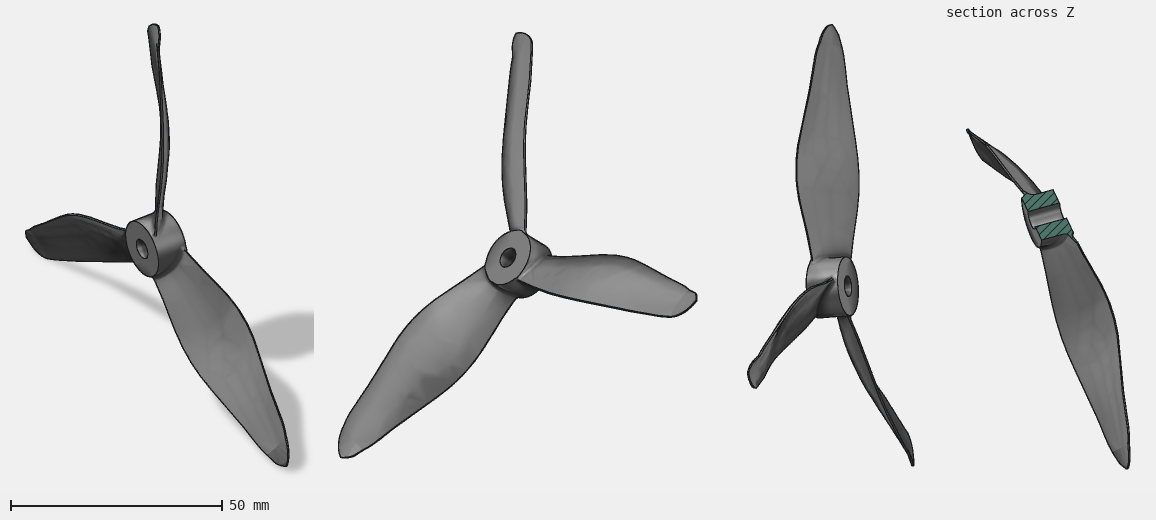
import cadquery as cq
import math

hub_radius = 7.0
hub_length = 8.0
bore_radius = 2.4
root_fillet = 1.1
hub_spare = 5.5
seam_angle = 90
on_side_tolerance = 0.001

blade_count = 3
edge_thickness = 0.4
tip_line = 58.6
tip_reach = 63.7

blade_stations = [
    (3.3, -4.3, 7.2, 4.2, 1.1, 1.5, 0.3),
    (10.0, -5.4, 7.8, 4.7, 0.9, 1.5, 0.3),
    (17.7, -6.5, 9.3, 6.4, 0.4, 1.7, 0.5),
    (27.7, -7.2, 10.4, 8.0, 0.3, 1.8, 0.9),
    (37.7, -6.9, 9.2, 7.1, 1.1, 1.7, 0.9),
    (48.7, -6.2, 7.0, 4.9, 2.1, 1.2, 0.7),
    (tip_line, -5.1, 5.2, 2.8, 2.8, 0.9, 0.4),
]
tip_overrun = 0.7
tip_station = (tip_reach + tip_overrun, -4.3, 4.3, 1.9, 4.1, 0.4, 0.1)

tip_back_start = (-5.1, tip_line)
tip_back_middle = (-3.1, 61.8)
tip_crest = (0.4, tip_reach)
tip_front_middle = (2.1, 61.8)
tip_front_start = (2.8, tip_line)
tip_trim_depth = 22.2


def section_wire(distance, back_x, back_y, front_x, front_y, bulge, hollow):
    """Closed cambered blade section in the plane Z = distance."""
    chord = cq.Vector(front_x - back_x, front_y - back_y, 0)
    normal = cq.Vector(-chord.y, chord.x, 0).normalized()
    back_edge = cq.Vector(back_x, back_y, distance)
    front_edge = cq.Vector(front_x, front_y, distance)
    middle = (back_edge + front_edge) * 0.5
    edge_half = normal * (edge_thickness / 2)
    back_arc = (back_edge + edge_half, middle + normal * bulge, front_edge + edge_half)
    front_arc = (front_edge - edge_half, middle + normal * hollow, back_edge - edge_half)
    return cq.Wire.assembleEdges([
        cq.Edge.makeThreePointArc(*back_arc),
        cq.Edge.makeLine(back_arc[2], front_arc[0]),
        cq.Edge.makeThreePointArc(*front_arc),
        cq.Edge.makeLine(front_arc[2], back_arc[0]),
    ])


def loft(stations):
    """Smooth solid through the blade sections at the given stations."""
    return cq.Workplane(cq.Solid.makeLoft([section_wire(*station) for station in stations]))


def make_tip():
    """Last stretch of the blade, trimmed to its rounded outline."""
    outline = (
        cq.Workplane("XZ")
        .moveTo(*tip_back_start)
        .threePointArc(tip_back_middle, tip_crest)
        .threePointArc(tip_front_middle, tip_front_start)
        .close()
        .extrude(tip_trim_depth, both=True)
    )
    return loft([blade_stations[-1], tip_station]).intersect(outline)


def make_blade():
    """Upright blade along +Z, with the crease at the tip line kept."""
    return loft(blade_stations).union(make_tip(), clean=False)


def disc_along_y(start_y, length, radius):
    """Solid cylinder on the hub axis, from start_y towards +Y."""
    return cq.Workplane("XZ", origin=(0, start_y, 0)).circle(radius).extrude(-length)


def on_hub_side(edge):
    """True for an edge lying on the hub cylinder along a blade root, not for the seam or the ends."""
    points = [edge.positionAt(fraction) for fraction in (0, 0.5, 1)]
    gaps = [abs(math.hypot(point.x, point.z) - hub_radius) for point in points]
    return edge.geomType() not in ("LINE", "CIRCLE") and max(gaps) < on_side_tolerance


def make_filleted_body():
    """Blades on an overlong hub, so that every root fillet closes around its blade."""
    body = disc_along_y(-hub_spare, hub_length + 2 * hub_spare, hub_radius)
    body = body.rotate((0, 0, 0), (0, 1, 0), seam_angle)
    blade = make_blade()
    for index in range(blade_count):
        turned = blade.rotate((0, 0, 0), (0, 1, 0), index * 360 / blade_count)
        body = body.union(turned, clean=False)
    roots = [edge for edge in body.edges().vals() if on_hub_side(edge)]
    return body.newObject(roots).fillet(root_fillet)


fillet_reach = hub_radius + root_fillet
result = (
    make_filleted_body()
    .cut(disc_along_y(-hub_spare, hub_spare, fillet_reach))
    .cut(disc_along_y(hub_length, hub_spare, fillet_reach))
    .cut(disc_along_y(0, hub_length, bore_radius))
)